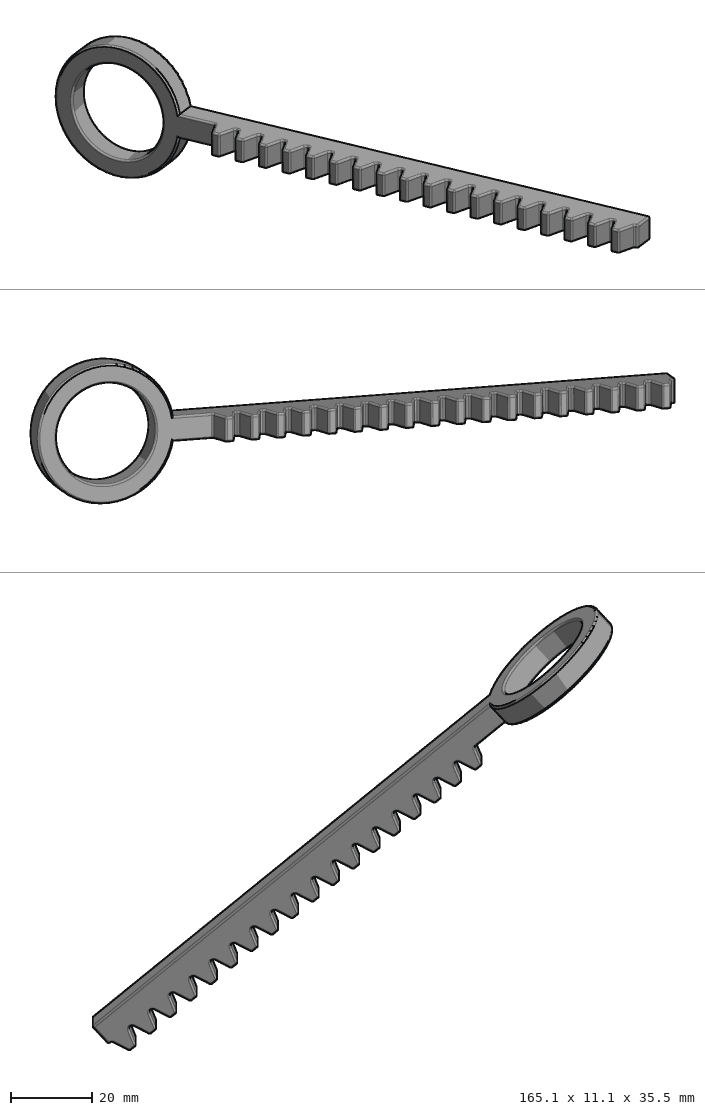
import cadquery as cq
import math

ring_diameter = 35.5
hole_diameter = 25.6

overall_length = 165.1
bar_depth = 6.3
bar_height = 6.5

tooth_height = 4.8
tooth_count = 18
tip_width = 2.1
flank_angle = 20.0
first_tooth_x = 48.2
last_tooth_x = 161.3
root_radius = 0.7

edge_radius = 0.53

ring_radius = ring_diameter / 2
half_tip = tip_width / 2
half_root = half_tip + tooth_height * math.tan(math.radians(flank_angle))
tooth_pitch = (last_tooth_x - first_tooth_x) / (tooth_count - 1)


def make_disc(diameter):
    """Disc about the ring axis, as deep as the bar."""
    return cq.Workplane("XZ").center(ring_radius, 0).circle(diameter / 2).extrude(-bar_depth)


def rack_outline():
    """Plan outline of the bar and its teeth, from the ring axis to the free end."""
    points = [(ring_radius, bar_depth), (ring_radius, 0)]
    for index in range(tooth_count):
        tooth_x = first_tooth_x + index * tooth_pitch
        points += [
            (tooth_x - half_root, 0),
            (tooth_x - half_tip, -tooth_height),
            (tooth_x + half_tip, -tooth_height),
            (tooth_x + half_root, 0),
        ]
    points += [(overall_length, 0), (overall_length, bar_depth)]
    return points


def make_rack():
    """Bar and teeth in one piece, with the gaps between the teeth rounded at the root."""
    rack = cq.Workplane("XY").polyline(rack_outline()).close().extrude(bar_height / 2, both=True)
    gap_roots = cq.selectors.BoxSelector(
        (first_tooth_x, -tooth_height / 2, -bar_height),
        (last_tooth_x, tooth_height / 2, bar_height),
    )
    return rack.edges("|Z").edges(gap_roots).fillet(root_radius)


body = make_disc(ring_diameter).union(make_rack()).cut(make_disc(hole_diameter))

result = body.edges("(not |Y) or >X").fillet(edge_radius)